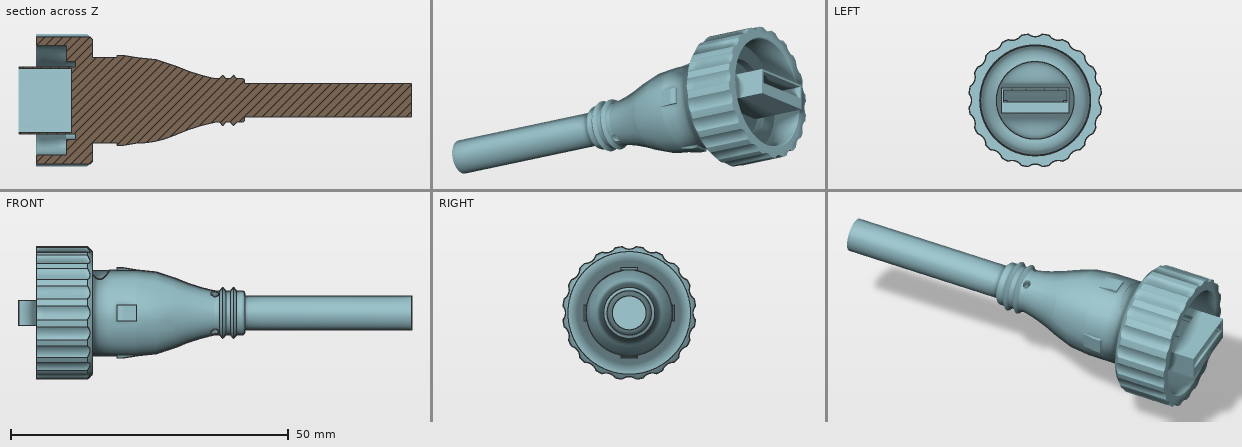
import cadquery as cq
import math

total_length = 70.8

plug_width = 12.2
plug_height = 4.55
plug_wall = 0.4
tongue_top = -0.25
plug_cavity_depth = 9.5
ledge_width = 0.6
ledge_height = 0.2
ledge_setback = 0.3
window_length = 1.85
window_width = 2.5
window_spacing = 5.8
window_front = 5.0

nut_front = 3.2
nut_rear = 13.3
nut_radius = 12.0
nut_chamfer = 0.95
groove_count = 20
groove_bottom_radius = 11.5
groove_half_width = 1.25
nut_bore_radius = 10.0
bore_lip = 0.15
bore_depth = 5.4
recess_radius = 7.0
recess_depth = 1.6

body_radius = 7.75
body_end = 21.2
shoulder_end = 28.2
shoulder_radius = 6.25
boot_end = 35.3
neck_radius = 3.98
neck_end = 40.75
neck_fillet = 0.6
cable_radius = 3.05

ring_centres = (36.75, 38.7)
ring_half_width = 0.55
ring_radius = 4.6

clip_count = 4
clip_front = 17.7
clip_crest_end = 18.8
clip_width = 2.9
clip_height = 8.15

pocket_diameter = 1.4
pocket_offset = 2.05
pocket_floor = 2.5

label_centre = 14.6
label_length = 3.6
label_width = 9.5
label_depth = 0.1


def revolve_about_x(profile):
    return profile.close().revolve(360, (0, 0, 0), (1, 0, 0))


def cylinder_along_x(start, end, radius):
    return cq.Workplane("YZ", origin=(start, 0, 0)).circle(radius).extrude(end - start)


def make_nut():
    """Fluted sleeve with an open front bore and a round recess in the bore floor."""
    nut = cylinder_along_x(nut_front, nut_rear, nut_radius).faces(">X").chamfer(nut_chamfer)
    edge_radius = math.sqrt(nut_radius**2 - groove_half_width**2)
    groove_depth = edge_radius - groove_bottom_radius
    groove_radius = (groove_half_width**2 + groove_depth**2) / (2 * groove_depth)
    grooves = (
        cq.Workplane("YZ", origin=(nut_front, 0, 0))
        .polarArray(groove_bottom_radius + groove_radius, 0, 360, groove_count)
        .circle(groove_radius)
        .extrude(nut_rear - nut_front)
    )
    bore = cylinder_along_x(nut_front, nut_front + bore_depth, nut_bore_radius - bore_lip)
    lip = cq.Workplane("YZ", origin=(nut_front, 0, 0)).circle(nut_bore_radius)
    lip = lip.workplane(offset=bore_lip).circle(nut_bore_radius - bore_lip).loft()
    bore_floor = nut_front + bore_depth
    recess = cylinder_along_x(bore_floor, bore_floor + recess_depth, recess_radius)
    return nut.cut(grooves).cut(bore).cut(lip).cut(recess)


def make_body():
    """Cylindrical body flowing through two tangent arcs into the slim neck."""
    profile = (
        cq.Workplane("XY")
        .moveTo(nut_rear, 0)
        .lineTo(nut_rear, -body_radius)
        .lineTo(body_end, -body_radius)
        .tangentArcPoint((shoulder_end, -shoulder_radius), relative=False)
        .tangentArcPoint((boot_end, -neck_radius), relative=False)
        .lineTo(neck_end, -neck_radius)
        .lineTo(neck_end, 0)
    )
    body = revolve_about_x(profile)
    return body.faces(">X").edges().fillet(neck_fillet)


def make_ring(centre):
    """Pointed ridge around the neck."""
    profile = (
        cq.Workplane("XY")
        .moveTo(centre - ring_half_width, 0)
        .lineTo(centre - ring_half_width, -neck_radius)
        .lineTo(centre, -ring_radius)
        .lineTo(centre + ring_half_width, -neck_radius)
        .lineTo(centre + ring_half_width, 0)
    )
    return revolve_about_x(profile)


def make_clip(index):
    """Raised pad with a flat crest that slopes down to the end of the body."""
    clip = (
        cq.Workplane("XZ", origin=(0, clip_width / 2, 0))
        .moveTo(clip_front, 0)
        .lineTo(clip_front, clip_height)
        .lineTo(clip_crest_end, clip_height)
        .lineTo(body_end, body_radius)
        .lineTo(body_end, 0)
        .close()
        .extrude(clip_width)
    )
    return clip.rotate((0, 0, 0), (1, 0, 0), index * 360 / clip_count)


def cut_boot_pockets(part):
    """Two flat-bottomed pockets each on the top and the underside."""
    centres = [(boot_end, side * pocket_offset) for side in (-1, 1)]
    for direction in (-1, 1):
        pockets = (
            cq.Workplane("XY", origin=(0, 0, direction * pocket_floor))
            .pushPoints(centres)
            .circle(pocket_diameter / 2)
            .extrude(direction * body_radius)
        )
        part = part.cut(pockets)
    return part


def cut_label_panel(part):
    """Shallow oval panel that follows the body and stops at the nut."""
    panel = (
        cq.Workplane("XY", origin=(label_centre, 0, 0))
        .ellipse(label_length / 2, label_width / 2)
        .extrude(nut_radius)
    )
    behind_nut = cq.Workplane("XY").box(
        label_length, 2 * nut_radius, 2 * nut_radius, centered=(False, True, True)
    )
    behind_nut = behind_nut.translate((nut_rear, 0, 0))
    core = cylinder_along_x(nut_front, body_end, body_radius - label_depth)
    return part.cut(panel.intersect(behind_nut).cut(core))


def make_plug():
    """Rectangular plug, hollow above its tongue, with two windows in the top wall."""
    plug_rear = nut_front + bore_depth + recess_depth
    plug = cq.Workplane("XY").box(plug_rear, plug_width, plug_height, centered=(False, True, True))
    cavity_width = plug_width - 2 * plug_wall
    cavity_top = plug_height / 2 - plug_wall
    cavity = (
        cq.Workplane("XY", origin=(0, 0, tongue_top))
        .box(plug_cavity_depth, cavity_width, cavity_top - tongue_top, centered=(False, True, False))
    )
    plug = plug.cut(cavity)
    ledge_length = plug_cavity_depth - ledge_setback
    ledge_offset = (cavity_width - ledge_width) / 2
    window_floor = tongue_top + ledge_height
    for side in (-1, 1):
        ledge = (
            cq.Workplane("XY", origin=(ledge_setback, side * ledge_offset, tongue_top))
            .box(ledge_length, ledge_width, ledge_height, centered=(False, True, False))
        )
        plug = plug.union(ledge)
        window = (
            cq.Workplane("XY", origin=(window_front, side * window_spacing / 2, window_floor))
            .box(window_length, window_width, plug_height, centered=(False, True, False))
        )
        plug = plug.cut(window)
    return plug


result = make_nut().union(make_body())
for ring_centre in ring_centres:
    result = result.union(make_ring(ring_centre))
for clip_index in range(clip_count):
    result = result.union(make_clip(clip_index))
result = cut_boot_pockets(result)
result = cut_label_panel(result)
result = result.union(cylinder_along_x(boot_end, total_length, cable_radius))
result = result.union(make_plug())